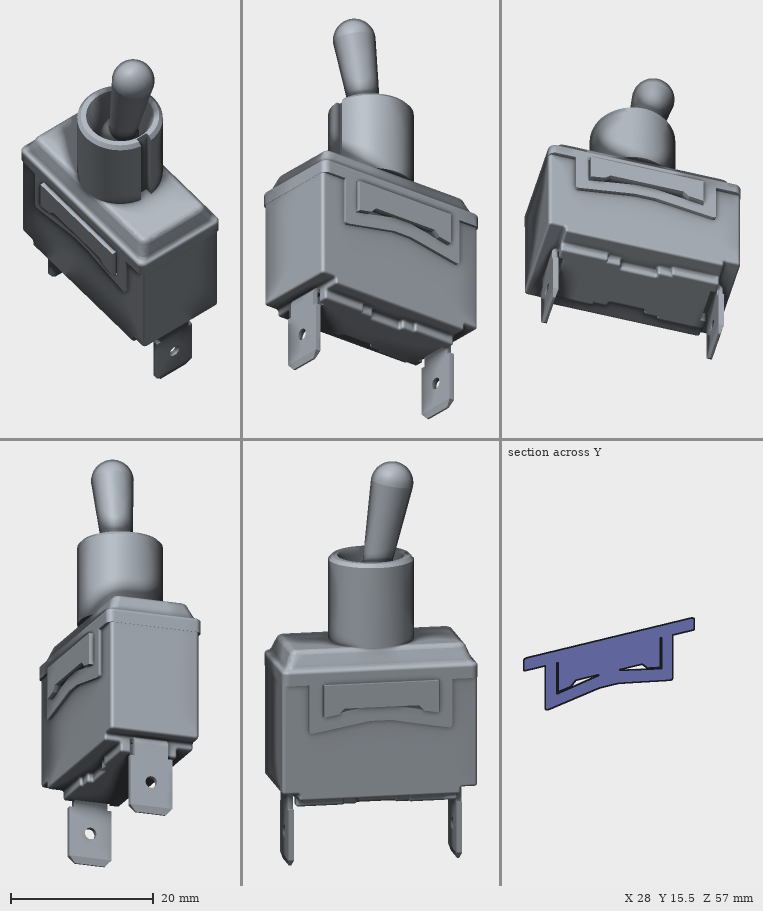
import cadquery as cq
import math


OVERALL_HEIGHT = 56.97

COVER_LENGTH = 28.0
COVER_WIDTH = 14.2
COVER_SKIRT_Z = -4.7
COVER_SHOULDER_Z = -3.1
COVER_CORNER_R = 1.0
SHOULDER_R = 0.5
SHOULDER_TURN = math.radians(68)
FOOT_R = 0.8
FOOT_STEPS = 3
BEVEL_LEAN = math.radians(22)
BEVEL_CORNER_R = 1.0
COVER_TOP_R = 0.9

FLAP_HALF_LENGTH = 10.2
FLAP_LOW_Z = -11.75
FLAP_HIGH_Z = -10.2
FLAP_CORNER_R = 0.4
CHEVRON_FLAT_HALF = 1.5
WINDOW_HALF_LENGTH = 8.35
WINDOW_LOW_Z = -9.45
WINDOW_HIGH_Z = -8.1
LUG_SPAN_Y = 15.5
LUG_GAP = 0.17
LUG_CUT_HALF = 5.3
LUG_CUT_LOW_HALF = 6.2

CASE_LENGTH = 27.9
CASE_WIDTH = 13.2
CASE_CORNER_R = 0.5
EDGE_R = 0.35
LEDGE_Z = -20.45
BASE_HALF_LENGTH = 11.5
BASE_Z = -21.45
RIB_HALF_WIDTH = 4.2
RIB_Z = -22.85
RIB_STEP_HALF_LENGTH = 4.6
RIB_STEP_DEPTH = 0.4
RIB_RECESS_HALF_LENGTH = 2.66
RIB_RECESS_DEPTH = 0.75
TERMINAL_SLOT_HALF_WIDTH = 2.66
TERMINAL_SLOT_DEPTH = 0.9

TERMINAL_X = 12.0
TERMINAL_THICKNESS = 0.8
TERMINAL_BEND_R = 1.2
TERMINAL_LEG_END_X = 9.5
NECK_WIDTH = 5.0
BLADE_WIDTH = 6.3
BLADE_SHOULDER_Z = -23.5
BLADE_TIP_LENGTH = 0.97
BLADE_TIP_SIDE = 0.9
BLADE_TIP_THICKNESS = 0.3
BLADE_HOLE_D = 1.7
BLADE_HOLE_Z = -27.15

BUSHING_D = 12.0
BUSHING_HEIGHT = 12.0
BUSHING_CHAMFER = 0.5
KEYWAY_WIDTH = 1.8
KEYWAY_DEPTH = 1.15
MOUTH_D = 9.5
PIVOT_BALL_D = 5.4
PIVOT_BALL_Z = 8.0

LEVER_TILT_DEG = 10.5
LEVER_TIP_D = 6.0
LEVER_TOP_Z = 25.25
LEVER_TIP_X = 3.0
LEVER_HALF_TAPER = math.radians(4.7)

TERMINAL_END_Z = LEVER_TOP_Z - OVERALL_HEIGHT
LEVER_TIP_Z = LEVER_TOP_Z - LEVER_TIP_D / 2
LEVER_LENGTH = LEVER_TIP_X / math.sin(math.radians(LEVER_TILT_DEG))
ARM_ROOT_Z = LEVER_TIP_Z - LEVER_LENGTH * math.cos(math.radians(LEVER_TILT_DEG))


def box_between(half_x, half_y, low_z, high_z):
    return (
        cq.Workplane("XY")
        .workplane(offset=low_z)
        .rect(2 * half_x, 2 * half_y)
        .extrude(high_z - low_z)
    )


def edges_where(shape, test):
    """Edges of the shape or edge selection whose centre coordinates pass the test."""
    return shape.newObject([edge for edge in shape.edges().vals() if test(*edge.Center().toTuple())])


def shoulder_point(turn):
    """Inset and height on the convex shoulder arc after turning in from vertical."""
    inset = SHOULDER_R * (1 - math.cos(turn))
    return inset, COVER_SHOULDER_Z + SHOULDER_R * math.sin(turn)


def foot_point(turn):
    """Inset and height on the concave arc that leads from the shoulder to the bevel."""
    start_inset, start_z = shoulder_point(SHOULDER_TURN)
    inset = start_inset + FOOT_R * (math.cos(turn) - math.cos(SHOULDER_TURN))
    return inset, start_z + FOOT_R * (math.sin(SHOULDER_TURN) - math.sin(turn))


def section_wire(inset, z, corner_r):
    """Horizontal outline of the cover: a rectangle with rounded corners."""
    rectangle = (
        cq.Workplane("XY")
        .workplane(offset=z)
        .rect(COVER_LENGTH - 2 * inset, COVER_WIDTH - 2 * inset)
        .val()
    )
    return rectangle.fillet2D(corner_r, rectangle.Vertices())


def make_cover():
    """Skirt with a rounded shoulder, a hollow foot above it, then a straight bevel to the top."""
    shoulder_inset, foot_z = shoulder_point(SHOULDER_TURN)
    bevel_inset, bevel_z = foot_point(BEVEL_LEAN)
    top_inset = bevel_inset - bevel_z * math.tan(BEVEL_LEAN)

    skirt_top_z = COVER_SHOULDER_Z + SHOULDER_R
    skirt = box_between(COVER_LENGTH / 2, COVER_WIDTH / 2, COVER_SKIRT_Z, skirt_top_z)
    skirt = skirt.edges("|Z").fillet(COVER_CORNER_R)
    skirt = skirt.faces(">Z").edges().fillet(SHOULDER_R)
    skirt = skirt.intersect(box_between(COVER_LENGTH, COVER_WIDTH, COVER_SKIRT_Z, foot_z))

    foot_corner_r = COVER_CORNER_R - shoulder_inset
    foot_sections = []
    for step in range(FOOT_STEPS + 1):
        fraction = step / FOOT_STEPS
        inset, z = foot_point(SHOULDER_TURN + fraction * (BEVEL_LEAN - SHOULDER_TURN))
        corner_r = foot_corner_r + fraction * (BEVEL_CORNER_R - foot_corner_r)
        foot_sections.append(section_wire(inset, z, corner_r))
    foot = cq.Workplane(cq.Solid.makeLoft(foot_sections))

    bevel_sections = [
        section_wire(bevel_inset, bevel_z, BEVEL_CORNER_R),
        section_wire(top_inset, 0, BEVEL_CORNER_R),
    ]
    bevel = cq.Workplane(cq.Solid.makeLoft(bevel_sections, True))
    bevel = bevel.faces(">Z").edges().fillet(COVER_TOP_R)
    return skirt.union(foot).union(bevel)


def chevron(half_length, low_z, high_z, top_z, span_y):
    """Plate through the case along Y with a bottom edge that rises to a short flat."""
    return (
        cq.Workplane("XZ")
        .polyline([
            (-half_length, top_z),
            (-half_length, low_z),
            (-CHEVRON_FLAT_HALF, high_z),
            (CHEVRON_FLAT_HALF, high_z),
            (half_length, low_z),
            (half_length, top_z),
        ])
        .close()
        .extrude(span_y / 2, both=True)
    )


def make_flaps():
    """Flaps hanging from both long sides of the cover, each with a window."""
    flaps = chevron(FLAP_HALF_LENGTH, FLAP_LOW_Z, FLAP_HIGH_Z, COVER_SKIRT_Z, COVER_WIDTH)
    flaps = flaps.edges("<Z").fillet(FLAP_CORNER_R)
    window = chevron(WINDOW_HALF_LENGTH, WINDOW_LOW_Z, WINDOW_HIGH_Z, COVER_SKIRT_Z, COVER_WIDTH)
    return flaps.cut(window)


def make_lugs():
    """Lugs that fill the windows but stop short of their sloping lower edges."""
    lugs = chevron(
        WINDOW_HALF_LENGTH - LUG_GAP,
        WINDOW_LOW_Z + LUG_GAP,
        WINDOW_HIGH_Z,
        COVER_SKIRT_Z,
        LUG_SPAN_Y,
    )
    slope_low_z = WINDOW_HIGH_Z - (LUG_CUT_LOW_HALF - LUG_CUT_HALF)
    relief = (
        cq.Workplane("XZ")
        .polyline([
            (-LUG_CUT_LOW_HALF, WINDOW_LOW_Z),
            (-LUG_CUT_LOW_HALF, slope_low_z),
            (-LUG_CUT_HALF, WINDOW_HIGH_Z),
            (LUG_CUT_HALF, WINDOW_HIGH_Z),
            (LUG_CUT_LOW_HALF, slope_low_z),
            (LUG_CUT_LOW_HALF, WINDOW_LOW_Z),
        ])
        .close()
        .extrude(LUG_SPAN_Y / 2, both=True)
    )
    return lugs.cut(relief)


def make_body():
    """Case above the rib, stepped up at both ends to make room for the terminals."""
    half_length = CASE_LENGTH / 2
    body = (
        cq.Workplane("XZ")
        .polyline([
            (-half_length, COVER_SKIRT_Z),
            (-half_length, LEDGE_Z),
            (-BASE_HALF_LENGTH, LEDGE_Z),
            (-BASE_HALF_LENGTH, BASE_Z),
            (BASE_HALF_LENGTH, BASE_Z),
            (BASE_HALF_LENGTH, LEDGE_Z),
            (half_length, LEDGE_Z),
            (half_length, COVER_SKIRT_Z),
        ])
        .close()
        .extrude(CASE_WIDTH / 2, both=True)
    )

    def is_ledge_root(x, y, z):
        return abs(abs(x) - BASE_HALF_LENGTH) < EDGE_R and abs(z - LEDGE_Z) < EDGE_R

    body = edges_where(body.edges("|Y"), is_ledge_root).fillet(EDGE_R)
    tall_corners = body.edges("|Z").edges("<X or >X")
    return tall_corners.fillet(CASE_CORNER_R)


def make_rib():
    """Rib under the case whose long sides step in twice towards the middle."""
    shallow_y = RIB_HALF_WIDTH - RIB_STEP_DEPTH
    deep_y = shallow_y - RIB_RECESS_DEPTH
    quarter = [
        (BASE_HALF_LENGTH, RIB_HALF_WIDTH),
        (RIB_STEP_HALF_LENGTH, RIB_HALF_WIDTH),
        (RIB_STEP_HALF_LENGTH, shallow_y),
        (RIB_RECESS_HALF_LENGTH, shallow_y),
        (RIB_RECESS_HALF_LENGTH, deep_y),
    ]
    upper_left = [(-x, y) for x, y in reversed(quarter)]
    lower_left = [(-x, -y) for x, y in quarter]
    lower_right = [(x, -y) for x, y in reversed(quarter)]
    rib = (
        cq.Workplane("XY")
        .workplane(offset=RIB_Z)
        .polyline(quarter + upper_left + lower_left + lower_right)
        .close()
        .extrude(BASE_Z - RIB_Z)
    )

    def is_rounded(x, y, z):
        on_recess = abs(x) < RIB_RECESS_HALF_LENGTH + EDGE_R
        on_outer_step = abs(x) < RIB_STEP_HALF_LENGTH + EDGE_R and abs(y) > shallow_y + EDGE_R / 2
        return on_recess or on_outer_step

    return edges_where(rib.edges("|Z"), is_rounded).fillet(EDGE_R)


def make_terminal_slot():
    """Slot into the +X end of the base, with a rounded mouth."""
    half_mouth = TERMINAL_SLOT_HALF_WIDTH + EDGE_R
    back_x = BASE_HALF_LENGTH - TERMINAL_SLOT_DEPTH
    round_x = BASE_HALF_LENGTH - EDGE_R
    return (
        cq.Workplane("XY")
        .workplane(offset=RIB_Z)
        .moveTo(back_x, -TERMINAL_SLOT_HALF_WIDTH)
        .lineTo(round_x, -TERMINAL_SLOT_HALF_WIDTH)
        .radiusArc((BASE_HALF_LENGTH, -half_mouth), EDGE_R)
        .lineTo(BASE_HALF_LENGTH, half_mouth)
        .radiusArc((round_x, TERMINAL_SLOT_HALF_WIDTH), EDGE_R)
        .lineTo(back_x, TERMINAL_SLOT_HALF_WIDTH)
        .close()
        .extrude(LEDGE_Z - RIB_Z)
    )


def make_case():
    """Body and rib with rounded lower edges and a terminal slot at each end."""
    case = make_body().union(make_rib())
    half_edge_r = EDGE_R / 2

    def is_rib_root(x, y, z):
        at_base = abs(z - BASE_Z) < half_edge_r
        return at_base and abs(y) < RIB_HALF_WIDTH + EDGE_R and abs(x) < BASE_HALF_LENGTH - half_edge_r

    case = edges_where(case, is_rib_root).fillet(EDGE_R)

    def is_lower_outline(x, y, z):
        if z > LEDGE_Z + half_edge_r:
            return False
        on_long_side = abs(y) > CASE_WIDTH / 2 - half_edge_r
        on_ledge_end = abs(x) > CASE_LENGTH / 2 - CASE_CORNER_R
        on_base_end = abs(x) > BASE_HALF_LENGTH - half_edge_r and z < BASE_Z + half_edge_r
        on_rib_bottom = z < RIB_Z + half_edge_r
        return on_long_side or on_ledge_end or on_base_end or on_rib_bottom

    case = edges_where(case, is_lower_outline).fillet(EDGE_R)
    slot = make_terminal_slot()
    return case.cut(slot).cut(slot.mirror("YZ"))


def make_terminal():
    """Terminal at +X: a leg leaving the base, bent down into a holed blade."""
    outer_x = TERMINAL_X + TERMINAL_THICKNESS / 2
    inner_x = TERMINAL_X - TERMINAL_THICKNESS / 2
    tip_inset = (TERMINAL_THICKNESS - BLADE_TIP_THICKNESS) / 2
    tip_start_z = TERMINAL_END_Z + BLADE_TIP_LENGTH
    strip = (
        cq.Workplane("XZ")
        .polyline([
            (TERMINAL_LEG_END_X, LEDGE_Z),
            (outer_x, LEDGE_Z),
            (outer_x, tip_start_z),
            (outer_x - tip_inset, TERMINAL_END_Z),
            (inner_x + tip_inset, TERMINAL_END_Z),
            (inner_x, tip_start_z),
            (inner_x, LEDGE_Z - TERMINAL_THICKNESS),
            (TERMINAL_LEG_END_X, LEDGE_Z - TERMINAL_THICKNESS),
        ])
        .close()
        .extrude(BLADE_WIDTH / 2, both=True)
    )
    strip = strip.faces(">Z").edges(">X").fillet(TERMINAL_BEND_R)
    half_neck = NECK_WIDTH / 2
    half_blade = BLADE_WIDTH / 2
    half_tip = half_blade - BLADE_TIP_SIDE
    right_side = [
        (half_neck, LEDGE_Z),
        (half_neck, BLADE_SHOULDER_Z),
        (half_blade, BLADE_SHOULDER_Z),
        (half_blade, tip_start_z),
        (half_tip, TERMINAL_END_Z),
    ]
    left_side = [(-y, z) for y, z in reversed(right_side)]
    outline = cq.Workplane("YZ").polyline(right_side + left_side).close().extrude(COVER_LENGTH)
    hole = (
        cq.Workplane("YZ")
        .center(0, BLADE_HOLE_Z)
        .circle(BLADE_HOLE_D / 2)
        .extrude(COVER_LENGTH)
    )
    return strip.intersect(outline).cut(hole)


def make_bushing():
    """Chamfered collar with a conical mouth down to the ball and a keyway on its +X side."""
    bushing = cq.Workplane("XY").circle(BUSHING_D / 2).extrude(BUSHING_HEIGHT)
    bushing = bushing.faces(">Z").edges().chamfer(BUSHING_CHAMFER)
    mouth = (
        cq.Workplane("XZ")
        .polyline([
            (0, PIVOT_BALL_Z),
            (PIVOT_BALL_D / 2, PIVOT_BALL_Z),
            (MOUTH_D / 2, BUSHING_HEIGHT),
            (0, BUSHING_HEIGHT),
        ])
        .close()
        .revolve(360, (0, 0), (0, 1))
    )
    keyway = box_between(KEYWAY_DEPTH, KEYWAY_WIDTH / 2, 0, BUSHING_HEIGHT)
    return bushing.cut(mouth).cut(keyway.translate((BUSHING_D / 2, 0, 0)))


def make_lever():
    """Pivot ball carrying a tapered, round-tipped arm that leans toward +X."""
    tip_r = LEVER_TIP_D / 2
    arm_root_r = tip_r - LEVER_LENGTH * math.tan(LEVER_HALF_TAPER)
    arc_middle = (tip_r * math.sin(math.pi / 4), LEVER_LENGTH + tip_r * math.cos(math.pi / 4))
    arm = (
        cq.Workplane("XZ")
        .moveTo(0, 0)
        .lineTo(arm_root_r, 0)
        .lineTo(tip_r, LEVER_LENGTH)
        .threePointArc(arc_middle, (0, LEVER_LENGTH + tip_r))
        .close()
        .revolve(360, (0, 0), (0, 1))
    )
    arm = arm.rotate((0, 0, 0), (0, 1, 0), LEVER_TILT_DEG).translate((0, 0, ARM_ROOT_Z))
    ball = cq.Workplane("XY").workplane(offset=PIVOT_BALL_Z).sphere(PIVOT_BALL_D / 2)
    return arm.union(ball)


terminal = make_terminal()
result = (
    make_case()
    .union(make_cover())
    .union(make_flaps())
    .union(make_lugs())
    .union(terminal)
    .union(terminal.mirror("YZ"))
    .union(make_bushing())
    .union(make_lever())
)